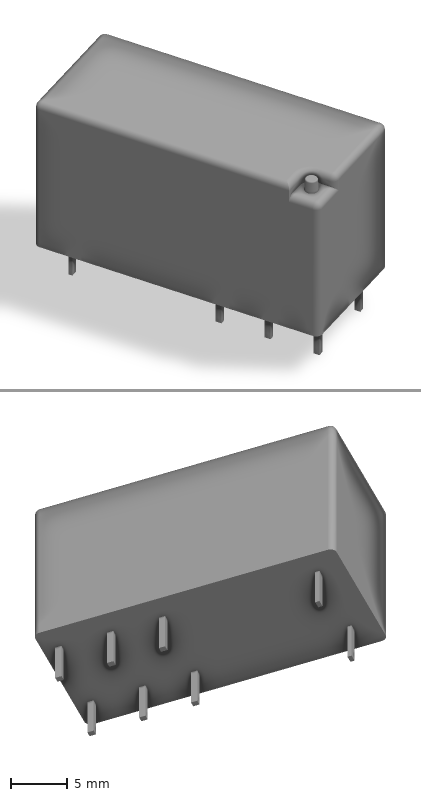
import cadquery as cq
import math

length = 29.0
width = 12.6
total_height = 19.5
pin_length = 3.77
height = total_height - pin_length
edge_radius = 0.6

notch_length = 3.02
notch_width = 3.05
notch_depth = 1.22
notch_corner_radius = 1.2
floor_height = height - notch_depth

peg_from_end = 1.8
peg_from_side = 1.88
peg_base_diameter = 1.3
peg_top_diameter = 1.15
peg_height = notch_depth
peg_edge_radius = 0.12

row_spacing = 7.5
coil_pin_x = 2.52 - length / 2
coil_pin_size = (0.4, 0.7)
contact_pin_size = (0.6, 0.52)
coil_to_contact = 15.0
contact_pitch = 5.0
contact_columns = 3


def make_housing():
    """Rounded box whose top has a notch in one corner."""
    low_block = (
        cq.Workplane("XY")
        .box(length, width, floor_height, centered=(True, True, False))
        .edges("|Z or >Z")
        .fillet(edge_radius)
    )

    right, left = length / 2, -length / 2
    back, front = width / 2, -width / 2
    wall_x = right - notch_length
    wall_y = front + notch_width
    arc_x = wall_x + notch_corner_radius
    arc_y = wall_y - notch_corner_radius
    arc_offset = notch_corner_radius * math.sqrt(0.5)
    tall_block = (
        cq.Workplane("XY")
        .moveTo(left, front)
        .lineTo(wall_x, front)
        .lineTo(wall_x, arc_y)
        .threePointArc((arc_x - arc_offset, arc_y + arc_offset), (arc_x, wall_y))
        .lineTo(right, wall_y)
        .lineTo(right, back)
        .lineTo(left, back)
        .close()
        .extrude(height)
    )
    rounded_edges = tall_block.edges("|Z").edges("<X or >X").add(tall_block.edges(">Z"))
    tall_block = rounded_edges.fillet(edge_radius)
    return low_block.union(tall_block)


def make_peg():
    """Slightly conical peg with a rounded top edge."""
    return (
        cq.Workplane("XY", origin=(length / 2 - peg_from_end, peg_from_side - width / 2, floor_height))
        .circle(peg_base_diameter / 2)
        .workplane(offset=peg_height)
        .circle(peg_top_diameter / 2)
        .loft()
        .edges(">Z")
        .fillet(peg_edge_radius)
    )


def make_pin(x, y, size):
    """Rectangular pin hanging from the underside of the housing."""
    return cq.Workplane("XY", origin=(x, y, 0)).rect(*size).extrude(-pin_length)


housing = make_housing()
peg = make_peg()

coil_pins = []
contact_pins = []
for row_y in (-row_spacing / 2, row_spacing / 2):
    coil_pins.append(make_pin(coil_pin_x, row_y, coil_pin_size).val())
    for column in range(contact_columns):
        contact_x = coil_pin_x + coil_to_contact + column * contact_pitch
        contact_pins.append(make_pin(contact_x, row_y, contact_pin_size).val())

result = cq.Compound.makeCompound([housing.val(), peg.val(), *coil_pins, *contact_pins])